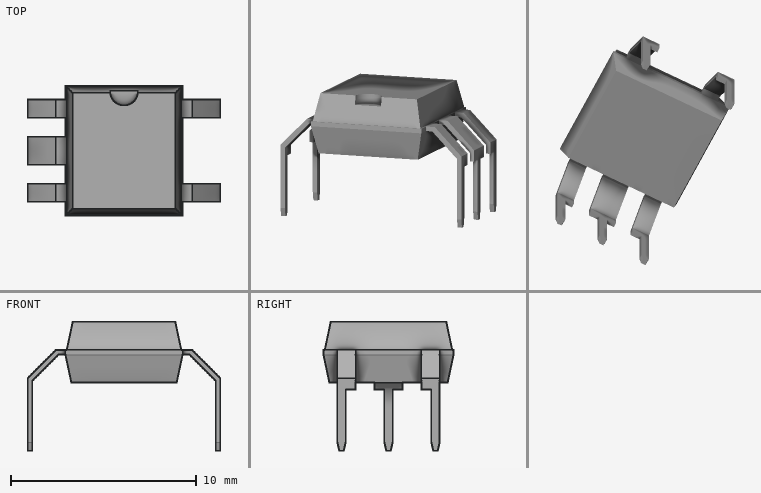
import cadquery as cq

STANDOFF = 0.38
BODY_HEIGHT = 3.3
PIN_LENGTH = 3.3
LEAD_THICKNESS = 0.25

BODY_X = 6.35
BODY_Y = 7.05
UPPER_INSET = 0.075
HALF_HEIGHT = (BODY_HEIGHT - LEAD_THICKNESS) / 2
DRAFT_ANGLE = 12
BODY_TOP = STANDOFF + BODY_HEIGHT
BAND_BOTTOM = STANDOFF + HALF_HEIGHT
BAND_TOP = BAND_BOTTOM + LEAD_THICKNESS

NOTCH_RADIUS = 0.75
NOTCH_DEPTH = 0.5
NOTCH_CENTRE_Y = 3.2

LEAD_SPAN = 10.41
LEAD_PITCH = 2.54
BEND_RUN = 1.525
INNER_BEND_SHIFT = 0.15
PIN_WIDTH = 0.46
SHOULDER_WIDTH = 1.52
TIP_WIDTH = 0.25
TIP_LENGTH = 0.46
LEAD_EMBED = 0.5


def tapered_block(size_x, size_y, base_z, height):
    """Drafted block growing from base_z; a negative height grows it downwards."""
    block = cq.Workplane("XY").rect(size_x, size_y).extrude(abs(height), taper=DRAFT_ANGLE)
    if height < 0:
        block = block.mirror("XY")
    return block.translate((0, 0, base_z))


def make_body():
    band = (
        cq.Workplane("XY")
        .workplane(offset=BAND_BOTTOM)
        .rect(BODY_X, BODY_Y)
        .extrude(LEAD_THICKNESS)
    )
    lower = tapered_block(BODY_X, BODY_Y, BAND_BOTTOM, -HALF_HEIGHT)
    upper = tapered_block(BODY_X - 2 * UPPER_INSET, BODY_Y - 2 * UPPER_INSET, BAND_TOP, HALF_HEIGHT)
    notch = (
        cq.Workplane("XY")
        .workplane(offset=BODY_TOP - NOTCH_DEPTH)
        .center(0, NOTCH_CENTRE_Y)
        .circle(NOTCH_RADIUS)
        .extrude(NOTCH_DEPTH)
    )
    return band.union(lower).union(upper.cut(notch))


def bent_strip():
    """Side profile of a +X lead, swept across the full body width in Y."""
    outer_x = LEAD_SPAN / 2
    inner_x = outer_x - LEAD_THICKNESS
    bend_x = outer_x - BEND_RUN
    root_x = BODY_X / 2 - LEAD_EMBED
    return (
        cq.Workplane("XZ")
        .moveTo(root_x, BAND_TOP)
        .lineTo(bend_x, BAND_TOP)
        .lineTo(outer_x, BAND_TOP - BEND_RUN)
        .lineTo(outer_x, -PIN_LENGTH)
        .lineTo(inner_x, -PIN_LENGTH)
        .lineTo(inner_x, BAND_TOP - BEND_RUN - INNER_BEND_SHIFT)
        .lineTo(bend_x - INNER_BEND_SHIFT, BAND_BOTTOM)
        .lineTo(root_x, BAND_BOTTOM)
        .close()
        .extrude(BODY_Y / 2, both=True)
    )


def lead_outline(shoulder_left, shoulder_right):
    """Face-on lead shape around a pin centred on Y = 0, extruded along X over the +X half."""
    half_pin = PIN_WIDTH / 2
    half_tip = TIP_WIDTH / 2
    tip_start = TIP_LENGTH - PIN_LENGTH
    shoulder = (
        cq.Workplane("YZ")
        .moveTo(shoulder_left, 0)
        .lineTo(shoulder_right, 0)
        .lineTo(shoulder_right, BAND_TOP)
        .lineTo(shoulder_left, BAND_TOP)
        .close()
        .extrude(LEAD_SPAN / 2)
    )
    pin = (
        cq.Workplane("YZ")
        .moveTo(-half_pin, 0)
        .lineTo(-half_pin, tip_start)
        .lineTo(-half_tip, -PIN_LENGTH)
        .lineTo(half_tip, -PIN_LENGTH)
        .lineTo(half_pin, tip_start)
        .lineTo(half_pin, 0)
        .close()
        .extrude(LEAD_SPAN / 2)
    )
    return shoulder.union(pin)


def make_lead(row):
    """+X lead; row is -1, 0 or 1. End leads have no shoulder on their outer side."""
    half_pin = PIN_WIDTH / 2
    half_shoulder = SHOULDER_WIDTH / 2
    left = -half_pin if row < 0 else -half_shoulder
    right = half_pin if row > 0 else half_shoulder
    outline = lead_outline(left, right).translate((0, row * LEAD_PITCH, 0))
    return bent_strip().intersect(outline)


result = make_body()
for row in (-1, 0, 1):
    lead = make_lead(row)
    result = result.union(lead.mirror("YZ"))
    if row != 0:
        result = result.union(lead)